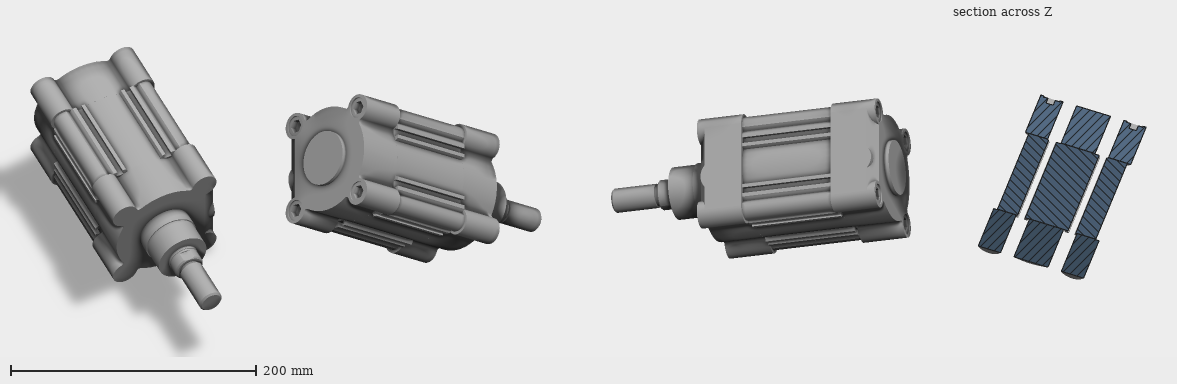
import cadquery as cq
import math


total_length = 243.0
rear_boss_length = 4.0
cap_length = 38.2
barrel_length = 76.5
front_boss_length = 11.7
nose_length = 21.5
collar_length = 2.2

rear_cap_start = rear_boss_length
barrel_start = rear_cap_start + cap_length
front_cap_start = barrel_start + barrel_length
front_cap_end = front_cap_start + cap_length
front_boss_end = front_cap_end + front_boss_length
nose_end = front_boss_end + nose_length
rod_start = nose_end + collar_length

overall_width = 94.0
body_radius = 43.7
bolt_offset = 36.0
lobe_radius = overall_width / 2 - bolt_offset
lobe_blend_radius = 2.7
bolt_centers = [(y * bolt_offset, z * bolt_offset) for y in (-1, 1) for z in (-1, 1)]

port_slope_length = 6.8
port_boss_inset = 17.3
port_boss_radius = 14.0
port_boss_drop = 6.5

counterbore_diameter = 17.0
head_diameter = 16.3
head_recess = 1.0
gap_depth = 1.2
socket_flats = 10.2
socket_depth = 4.9
socket_tip_radius = 4.4
socket_tip_depth = 2.5

boss_radius = 22.5
nose_radius = 21.6
collar_radius = 13.0

barrel_half_width = 44.5
corner_radius = barrel_half_width - bolt_offset
valley_half_width = 16.5
valley_taper = 2.2
valley_depth = 4.4
slot_center = 21.9
slot_mouth_width = 4.9
slot_inner_width = 6.3
slot_lip = 1.5
slot_depth = 4.5
notch_center = 30.4
notch_half_width = 3.0
notch_depth = 3.0

rod_radius = 12.5
rod_shoulder_length = 11.0
rod_shoulder_chamfer = 1.2
flat_half_width = 11.5
flat_length = 9.0
neck_radius = 8.5
neck_length = 3.0
thread_radius = 10.0
thread_chamfer = 1.5


def profile_plane(x):
    """Plane across the axis at x, with local axes Y and Z and extrusion toward +X."""
    return cq.Workplane("YZ", origin=(x, 0, 0))


def make_cap_block():
    """Cap from x = 0 to x = cap_length, with its outer face at x = 0."""
    lobes = profile_plane(0).pushPoints(bolt_centers).circle(lobe_radius).extrude(cap_length)
    body = profile_plane(0).circle(body_radius).extrude(cap_length).union(lobes)
    corner_distance = (body_radius**2 + 2 * bolt_offset**2 - lobe_radius**2) / (2 * body_radius)
    corner_spread = math.acos(corner_distance / (bolt_offset * math.sqrt(2)))
    for quarter in range(4):
        for side in (-1, 1):
            angle = math.pi / 4 + quarter * math.pi / 2 + side * corner_spread
            corner = (cap_length / 2, body_radius * math.cos(angle), body_radius * math.sin(angle))
            body = body.edges(cq.NearestToPointSelector(corner)).fillet(lobe_blend_radius)
    return body.union(make_port_block()).cut(make_port_slope_cutter().cut(lobes))


def make_port_block():
    """Square +Y side of a cap, reaching from the axis to the lobes' outermost line."""
    side_y = overall_width / 2
    return (
        profile_plane(0)
        .center(side_y / 2, 0)
        .rect(side_y, 2 * bolt_offset)
        .extrude(cap_length)
    )


def make_port_slope_cutter():
    """Wedge that slopes the outer end of the port block but spares a round port boss."""
    side_y = overall_width / 2
    wedge = (
        cq.Workplane("XY", origin=(0, 0, -bolt_offset))
        .polyline([(0, bolt_offset), (port_slope_length, side_y), (0, side_y)])
        .close()
        .extrude(2 * bolt_offset)
    )
    boss = (
        cq.Workplane("XZ", origin=(port_boss_inset, overall_width, -port_boss_drop))
        .circle(port_boss_radius)
        .extrude(overall_width)
    )
    return wedge.cut(boss)


def cut_bolt_heads(cap):
    """Sink the four bolt heads into the face at x = 0, with a gap around each, and cut their sockets."""
    socket_end = head_recess + socket_depth
    counterbores = (
        profile_plane(0)
        .pushPoints(bolt_centers)
        .circle(counterbore_diameter / 2)
        .extrude(gap_depth)
    )
    heads = (
        profile_plane(head_recess)
        .pushPoints(bolt_centers)
        .circle(head_diameter / 2)
        .extrude(gap_depth - head_recess)
    )
    sockets = (
        profile_plane(0)
        .pushPoints(bolt_centers)
        .polygon(6, socket_flats / math.cos(math.pi / 6))
        .extrude(socket_end)
    )
    cap = cap.cut(counterbores.cut(heads)).cut(sockets)
    for y, z in bolt_centers:
        tip = cq.Solid.makeCone(
            socket_tip_radius, 0, socket_tip_depth, cq.Vector(socket_end, y, z), cq.Vector(1, 0, 0)
        )
        cap = cap.cut(cq.Workplane(tip))
    return cap


def make_rear_cap():
    cap = cut_bolt_heads(make_cap_block()).translate((rear_cap_start, 0, 0))
    boss = profile_plane(0).circle(boss_radius).extrude(rear_boss_length)
    return cap.union(boss)


def make_front_cap():
    """Mirror image of the rear cap's block, with a stepped nose and a collar."""
    cap = make_cap_block().mirror("YZ").translate((front_cap_end, 0, 0))
    boss = profile_plane(front_cap_end).circle(boss_radius).extrude(front_boss_length)
    nose = profile_plane(front_boss_end).circle(nose_radius).extrude(nose_length)
    collar = profile_plane(nose_end).circle(collar_radius).extrude(collar_length)
    return cap.union(boss).union(nose).union(collar)


def make_side_cutter():
    """Valley, T-slots and V-notches of the barrel's +Z side."""
    top = barrel_half_width
    valley_bottom_half = valley_half_width - valley_taper
    cutter = (
        profile_plane(barrel_start)
        .polyline([
            (-valley_half_width, top),
            (valley_half_width, top),
            (valley_bottom_half, top - valley_depth),
            (-valley_bottom_half, top - valley_depth),
        ])
        .close()
        .extrude(barrel_length)
    )
    inner_height = slot_depth - slot_lip
    for side in (-1, 1):
        mouth = (
            profile_plane(barrel_start)
            .center(side * slot_center, top - slot_depth / 2)
            .rect(slot_mouth_width, slot_depth)
            .extrude(barrel_length)
        )
        inner = (
            profile_plane(barrel_start)
            .center(side * slot_center, top - slot_lip - inner_height / 2)
            .rect(slot_inner_width, inner_height)
            .extrude(barrel_length)
        )
        notch = (
            profile_plane(barrel_start)
            .polyline([
                (side * (notch_center - notch_half_width), top),
                (side * notch_center, top - notch_depth),
                (side * (notch_center + notch_half_width), top),
            ])
            .close()
            .extrude(barrel_length)
        )
        cutter = cutter.union(mouth).union(inner).union(notch)
    return cutter


def make_barrel():
    barrel = (
        profile_plane(barrel_start)
        .rect(2 * barrel_half_width, 2 * barrel_half_width)
        .extrude(barrel_length)
        .edges("|X")
        .fillet(corner_radius)
    )
    cutter = make_side_cutter()
    for quarter in range(4):
        barrel = barrel.cut(cutter.rotate((0, 0, 0), (1, 0, 0), 90 * quarter))
    core = profile_plane(barrel_start).circle(body_radius).extrude(barrel_length)
    return barrel.union(core)


def make_rod():
    """Rod end: shoulder with two wrench flats, neck and threaded end."""
    shoulder_end = rod_start + rod_shoulder_length
    neck_end = shoulder_end + neck_length
    shoulder = (
        profile_plane(rod_start)
        .circle(rod_radius)
        .extrude(rod_shoulder_length)
        .faces(">X")
        .chamfer(rod_shoulder_chamfer)
    )
    flat_thickness = rod_radius - flat_half_width
    for side in (-1, 1):
        flat = cq.Workplane("XY").box(flat_length, 2 * rod_radius, flat_thickness).translate(
            (shoulder_end - flat_length / 2, 0, side * (flat_half_width + flat_thickness / 2))
        )
        shoulder = shoulder.cut(flat)
    neck = profile_plane(shoulder_end).circle(neck_radius).extrude(neck_length)
    thread = (
        profile_plane(neck_end)
        .circle(thread_radius)
        .extrude(total_length - neck_end)
        .faces(">X")
        .chamfer(thread_chamfer)
    )
    return shoulder.union(neck).union(thread)


rear_cap = make_rear_cap()
barrel = make_barrel()
front_cap = make_front_cap()
rod = make_rod()

result = cq.Compound.makeCompound([rear_cap.val(), barrel.val(), front_cap.val(), rod.val()])